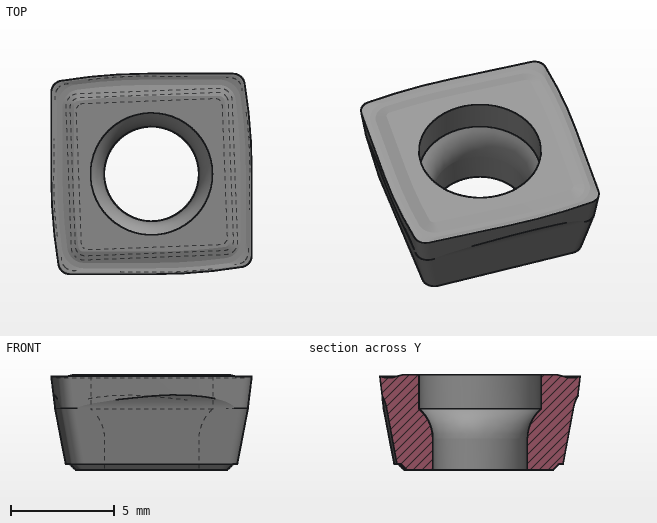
import cadquery as cq
import math

width = 9.7
height = 4.62
rim_z = 4.53
relief_z = 3.0
foot_z = 0.29

rim_corner_radius = 0.58
bow_start = 0.15
bow_radius = 25.9
rim_clearance_angle = 7.0

body_turn = 2.2
body_half_width = 4.52
body_corner_radius = 0.6
body_clearance_angle = 10.5
flare_radius = 1.94
flare_height = 0.97

foot_top_half_width = 3.82
foot_top_corner_radius = 0.485
foot_half_width = 3.53
foot_corner_radius = 0.34

land_width = 0.09
groove_outer_inset = 0.29
groove_inner_inset = 0.55
plateau_inset = 1.1
groove_z = 4.47
land_corner_radius = 0.53
groove_outer_corner_radius = 1.07
groove_inner_corner_radius = 0.82
plateau_corner_radius = 0.24

head_radius = 2.95
bore_radius = 2.28
seat_top_z = 2.97
seat_bottom_z = 1.52


def inset_at(drop, angle):
    """Inward shift of a wall leaning at `angle` to the vertical over a height `drop`."""
    return drop * math.tan(math.radians(angle))


def turned(x, y, quarter):
    """Point (x, y) turned about the origin by a number of quarter turns."""
    angle = quarter * math.pi / 2
    return (x * math.cos(angle) - y * math.sin(angle), x * math.sin(angle) + y * math.cos(angle))


def bowed_square(inset, radius, z):
    """Rounded outline with four alike sides, `inset` inside the rim."""
    half = width / 2 - inset

    def bow(x):
        """Y of the lower side's arc."""
        return -half + bow_radius - math.sqrt(bow_radius**2 - (x - bow_start) ** 2)

    corner_y = bow(half)
    middle_x = (bow_start + half) / 2
    outline = cq.Workplane("XY").workplane(offset=z)
    outline = outline.moveTo(*turned(half, corner_y, -1))
    for quarter in range(4):
        outline = outline.lineTo(*turned(bow_start, -half, quarter))
        outline = outline.threePointArc(
            turned(middle_x, bow(middle_x), quarter), turned(half, corner_y, quarter)
        )
    wire = outline.close().val()
    corners = [v for v in wire.Vertices() if min(abs(v.X), abs(v.Y)) > half / 2]
    return wire.fillet2D(radius, corners)


def turned_square(half, radius, z):
    """Rounded square outline, turned with the lower band."""
    square = cq.Workplane("XY").workplane(offset=z).transformed(rotate=(0, 0, body_turn))
    wire = square.rect(2 * half, 2 * half).val()
    return wire.fillet2D(radius, wire.Vertices())


def ruled(lower, upper):
    """Straight-walled solid between two outlines."""
    return cq.Workplane("XY").add(cq.Solid.makeLoft([lower, upper], True))


def flare_cutter():
    """Space under the overhang of one side, bounded by an arc tangent to the lower wall."""
    lean = math.radians(body_clearance_angle)
    center_x = body_half_width + flare_radius * math.cos(lean)
    center_z = relief_z - flare_radius * math.sin(lean)

    def arc_point(z):
        """Point of the arc at height z, as (outward distance, height)."""
        return (center_x - math.sqrt(flare_radius**2 - (z - center_z) ** 2), z)

    top_z = relief_z + flare_height
    return (
        cq.Workplane("XZ", origin=(0, width, 0))
        .moveTo(body_half_width, relief_z)
        .threePointArc(arc_point(relief_z + flare_height / 2), arc_point(top_z))
        .lineTo(width, top_z)
        .lineTo(width, relief_z)
        .close()
        .extrude(2 * width)
    )


def upper_band():
    """Upper band, hollowed out under the overhang of each side."""
    inset = inset_at(rim_z - relief_z, rim_clearance_angle)
    band = ruled(
        bowed_square(inset, rim_corner_radius, relief_z),
        bowed_square(0, rim_corner_radius, rim_z),
    )
    for quarter in range(4):
        band = band.cut(flare_cutter().rotate((0, 0, 0), (0, 0, 1), body_turn + 90 * quarter))
    return band


def lower_band():
    """Tapered band below the relief line."""
    inset = inset_at(relief_z - foot_z, body_clearance_angle)
    return ruled(
        turned_square(body_half_width - inset, body_corner_radius, foot_z),
        turned_square(body_half_width, body_corner_radius, relief_z),
    )


def foot():
    """Bevelled foot, set in from the lower band."""
    return ruled(
        turned_square(foot_half_width, foot_corner_radius, 0),
        turned_square(foot_top_half_width, foot_top_corner_radius, foot_z),
    )


def chip_groove():
    """Recess inside the land: a slope down from the land to the groove floor."""
    return ruled(
        bowed_square(groove_outer_inset, groove_outer_corner_radius, groove_z),
        bowed_square(land_width, land_corner_radius, rim_z),
    )


def plateau():
    """Raised middle, sloping up from the groove floor."""
    return ruled(
        bowed_square(groove_inner_inset, groove_inner_corner_radius, groove_z),
        bowed_square(plateau_inset, plateau_corner_radius, height),
    )


def screw_hole():
    """Head bore, rounded seat and shank bore, turned about Z."""
    seat_width = head_radius - bore_radius
    seat_height = seat_top_z - seat_bottom_z
    seat_radius = (seat_width**2 + seat_height**2) / (2 * seat_width)
    middle_rise = seat_height / 2
    middle_radius = bore_radius + seat_radius - math.sqrt(seat_radius**2 - middle_rise**2)
    return (
        cq.Workplane("XZ")
        .lineTo(bore_radius, 0)
        .lineTo(bore_radius, seat_bottom_z)
        .threePointArc((middle_radius, seat_bottom_z + middle_rise), (head_radius, seat_top_z))
        .lineTo(head_radius, height)
        .lineTo(0, height)
        .close()
        .revolve(360, (0, 0, 0), (0, 1, 0))
    )


bands = upper_band().union(lower_band())
result = bands.union(foot()).cut(chip_groove()).union(plateau()).cut(screw_hole())